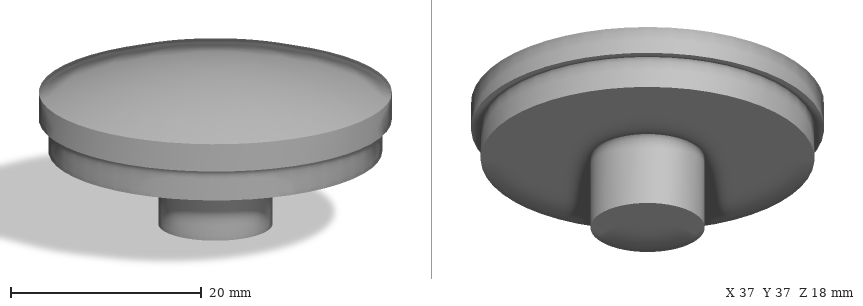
import cadquery as cq

cap_diameter = 37.0
rim_height = 3.0
dome_height = 3.5
step_diameter = 35.0
step_height = 3.48
stem_diameter = 12.0
stem_height = 8.0

cap_radius = cap_diameter / 2
step_top = stem_height + step_height
rim_top = step_top + rim_height
apex = rim_top + dome_height

dome_radius = (cap_radius**2 + dome_height**2) / (2 * dome_height)
mid_radius = cap_radius / 2
mid_level = apex - dome_radius + (dome_radius**2 - mid_radius**2) ** 0.5

profile = (
    cq.Workplane("XZ")
    .moveTo(0, 0)
    .lineTo(stem_diameter / 2, 0)
    .lineTo(stem_diameter / 2, stem_height)
    .lineTo(step_diameter / 2, stem_height)
    .lineTo(step_diameter / 2, step_top)
    .lineTo(cap_radius, step_top)
    .lineTo(cap_radius, rim_top)
    .threePointArc((mid_radius, mid_level), (0, apex))
    .close()
)

result = profile.revolve(360, (0, 0, 0), (0, 1, 0))